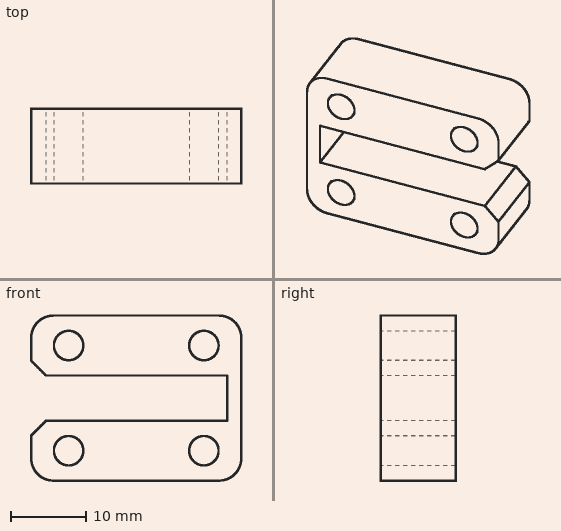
import cadquery as cq

length = 28.0
thickness = 10.0
height = 22.0
corner_radius = 3.0

slot_height = 6.0
end_wall = 1.9
mouth_chamfer = 2.0

hole_diameter = 3.9
hole_spacing_x = 18.0
hole_spacing_z = 14.0


def make_block():
    block = cq.Workplane("XY").box(length, thickness, height)
    return block.edges("|Y").fillet(corner_radius)


def make_slot():
    mouth_x = -length / 2
    slot_end_x = length / 2 - end_wall
    half_slot = slot_height / 2
    half_mouth = half_slot + mouth_chamfer
    return (
        cq.Workplane("XZ")
        .moveTo(mouth_x, -half_mouth)
        .lineTo(mouth_x + mouth_chamfer, -half_slot)
        .lineTo(slot_end_x, -half_slot)
        .lineTo(slot_end_x, half_slot)
        .lineTo(mouth_x + mouth_chamfer, half_slot)
        .lineTo(mouth_x, half_mouth)
        .close()
        .extrude(thickness / 2, both=True)
    )


def make_holes():
    return (
        cq.Workplane("XZ")
        .rarray(hole_spacing_x, hole_spacing_z, 2, 2)
        .circle(hole_diameter / 2)
        .extrude(thickness / 2, both=True)
    )


result = make_block().cut(make_slot()).cut(make_holes())